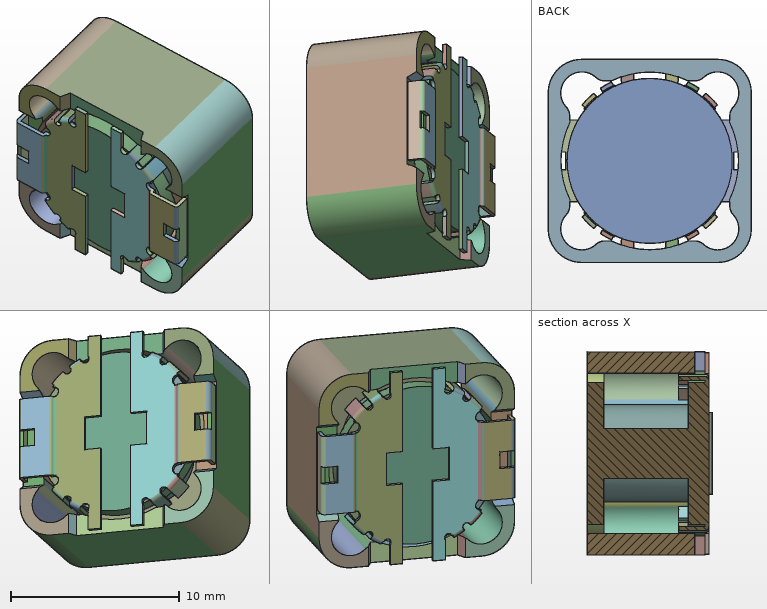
import cadquery as cq
import math


SIDE = 12.1
TOTAL_DEPTH = 7.47
TERMINAL_STANDOFF = 0.45
SLEEVE_DEPTH = TOTAL_DEPTH - TERMINAL_STANDOFF
CORNER_RADIUS = 2.01
CORNER_CENTRE = SIDE / 2 - CORNER_RADIUS
CORNER_HOLE_RADIUS = 1.25
BORE_RADIUS = 5.28
BORE_FLAT = 4.75
BORE_FILLET = 0.75
NOTCH_DEPTH = 0.6
NOTCH_MOUTH_HALF_WIDTH = 3.0
NOTCH_FLOOR_HALF_WIDTH = 2.7

CORE_RADIUS = 4.91
FLANGE_THICKNESS = 1.0
POST_RADIUS = 2.9

SHEET = 0.24
STRIP_INNER_X = 0.94
STRIP_OUTER_X = 1.71
STRIP_HALF_LENGTH = 6.0
WINDOW_HALF_WIDTH = 1.95
WINDOW_HALF_HEIGHT = 1.02

PLATE_RADIUS = 4.99
TAB_DEPTH = 1.57
TAB_BEND_RADIUS = 0.23
DIAGONAL_TAB = (45.0, 0.97)
STEEP_TAB = (60.0, 0.76)

RELIEF_RADIUS = 0.23
STRIP_RELIEF = (1.89, 4.6)
STRIP_RELIEF_ANGLE = 67.5
TAB_RELIEF = (3.01, 4.03)
TAB_RELIEF_ANGLE = 52.5
TERMINAL_RELIEF_RADIUS = 0.31
TERMINAL_RELIEF = (3.88, 2.76)
TERMINAL_RELIEF_ANGLE = 0.0

TERMINAL_HALF_WIDTH = 2.45
TERMINAL_OUTER_X = 6.0
TERMINAL_BEND_RADIUS = 0.25
LEG_REACH = 0.56
JOGGLE_OUTER_X = 4.07
JOGGLE_MIDDLE_X = 3.91
JOGGLE_INNER_X = 3.71
SLOT_INNER_X = 5.01
SLOT_HALF_WIDTH = 0.52

QUADRANTS = [(1, 1), (-1, 1), (-1, -1), (1, -1)]


def front_plane(y):
    """Sketch plane at depth y, with local axes X and Z; extruding by +d goes toward -Y."""
    return cq.Workplane("XZ", origin=(0, y, 0))


def place_in_quadrant(body, sign_x, sign_z):
    """Mirror a first-quadrant body into the quadrant with the given signs."""
    if sign_x < 0:
        body = body.mirror("YZ")
    if sign_z < 0:
        body = body.mirror("XY")
    return body


def make_bore():
    """Round bore joined with a square one and four corner holes."""
    depth = -SLEEVE_DEPTH
    corner_holes = front_plane(0).rect(2 * CORNER_CENTRE, 2 * CORNER_CENTRE, forConstruction=True)
    corner_holes = corner_holes.vertices().circle(CORNER_HOLE_RADIUS).extrude(depth)
    bore = front_plane(0).rect(2 * BORE_FLAT, 2 * BORE_FLAT).extrude(depth).union(corner_holes)

    flat_end = CORNER_CENTRE - math.sqrt(CORNER_HOLE_RADIUS**2 - (BORE_FLAT - CORNER_CENTRE) ** 2)
    meeting_points = [(flat_end, BORE_FLAT), (BORE_FLAT, flat_end)]
    fillet_edges = []
    for edge in bore.edges("|Y").vals():
        middle = edge.Center()
        for x, z in meeting_points:
            if math.hypot(abs(middle.x) - x, abs(middle.z) - z) < 0.01:
                fillet_edges.append(edge)
    bore = bore.newObject(fillet_edges).fillet(BORE_FILLET)
    return bore.union(front_plane(0).circle(BORE_RADIUS).extrude(depth))


def make_notch():
    """Tapered notch across the whole sleeve along X, opening at the mounting face."""
    outline = [
        (0, -NOTCH_MOUTH_HALF_WIDTH),
        (NOTCH_DEPTH, -NOTCH_FLOOR_HALF_WIDTH),
        (NOTCH_DEPTH, NOTCH_FLOOR_HALF_WIDTH),
        (0, NOTCH_MOUTH_HALF_WIDTH),
    ]
    return cq.Workplane("YZ").polyline(outline).close().extrude(SIDE / 2, both=True)


def make_sleeve():
    sleeve = front_plane(0).rect(SIDE, SIDE).extrude(-SLEEVE_DEPTH)
    sleeve = sleeve.edges("|Y").fillet(CORNER_RADIUS).cut(make_bore())
    notch = make_notch()
    return sleeve.cut(notch).cut(notch.rotate((0, 0, 0), (0, 1, 0), 90))


def make_drum_core():
    """Post with a flange at each end."""
    front_flange = front_plane(0).circle(CORE_RADIUS).extrude(-FLANGE_THICKNESS)
    back_flange = front_plane(SLEEVE_DEPTH).circle(CORE_RADIUS).extrude(FLANGE_THICKNESS)
    post = front_plane(0).circle(POST_RADIUS).extrude(-SLEEVE_DEPTH)
    return post.union(front_flange).union(back_flange)


def make_relief(centre, radius, direction):
    """First-quadrant cutter for a round-ended notch that runs outward at an angle from the X axis."""
    x, z = centre
    length = SIDE / 2 - math.hypot(x, z)
    cutter = front_plane(0).circle(radius).extrude(SHEET)
    channel = front_plane(0).center(length / 2, 0).rect(length, 2 * radius).extrude(SHEET)
    return cutter.union(channel).rotate((0, 0, 0), (0, 1, 0), -direction).translate((x, 0, z))


def make_tab(angle, width):
    """Tab at the plate's rim: a strip of a ring around the core with a rounded bend at the front."""
    ring = front_plane(-SHEET).circle(PLATE_RADIUS + SHEET).extrude(-SHEET - TAB_DEPTH)
    ring = ring.faces("<Y").edges().fillet(TAB_BEND_RADIUS)
    ring = ring.cut(front_plane(-SHEET).circle(PLATE_RADIUS).extrude(-SHEET - TAB_DEPTH))
    strip = front_plane(-SHEET).center(SIDE / 4, 0).rect(SIDE / 2, width).extrude(-SHEET - TAB_DEPTH)
    return ring.intersect(strip).rotate((0, 0, 0), (0, 1, 0), -angle)


def make_plate():
    """Flat part of the lead frame: two halves, each with a long strip and four tabs."""
    plate = front_plane(0).circle(PLATE_RADIUS).extrude(SHEET)
    strip_centre = (STRIP_INNER_X + STRIP_OUTER_X) / 2
    strip_width = STRIP_OUTER_X - STRIP_INNER_X
    strips = front_plane(0).pushPoints([(-strip_centre, 0), (strip_centre, 0)])
    strips = strips.rect(strip_width, 2 * STRIP_HALF_LENGTH).extrude(SHEET)
    plate = plate.union(strips)

    reliefs = [
        make_relief(STRIP_RELIEF, RELIEF_RADIUS, STRIP_RELIEF_ANGLE),
        make_relief(TAB_RELIEF, RELIEF_RADIUS, TAB_RELIEF_ANGLE),
        make_relief(TERMINAL_RELIEF, TERMINAL_RELIEF_RADIUS, TERMINAL_RELIEF_ANGLE),
    ]
    tabs = [make_tab(*DIAGONAL_TAB), make_tab(*STEEP_TAB)]
    for sign_x, sign_z in QUADRANTS:
        for relief in reliefs:
            plate = plate.cut(place_in_quadrant(relief, sign_x, sign_z))
        for tab in tabs:
            plate = plate.union(place_in_quadrant(tab, sign_x, sign_z))

    gap = front_plane(0).rect(2 * STRIP_INNER_X, 2 * STRIP_HALF_LENGTH).extrude(SHEET)
    window = front_plane(0).rect(2 * WINDOW_HALF_WIDTH, 2 * WINDOW_HALF_HEIGHT).extrude(SHEET)
    plate = plate.cut(gap).cut(window)

    edge_centre = (JOGGLE_INNER_X + TERMINAL_OUTER_X) / 2
    edge_width = TERMINAL_OUTER_X - JOGGLE_INNER_X
    terminal_room = front_plane(0).pushPoints([(-edge_centre, 0), (edge_centre, 0)])
    terminal_room = terminal_room.rect(edge_width, 2 * TERMINAL_HALF_WIDTH).extrude(SHEET)
    return plate.cut(terminal_room)


def make_terminal():
    """Solder terminal on the +X side: joggle, pad and a leg bent into the sleeve notch."""
    pad_back = SHEET - TERMINAL_STANDOFF
    profile = (
        cq.Workplane("XY")
        .moveTo(JOGGLE_INNER_X, 0)
        .lineTo(JOGGLE_OUTER_X, 0)
        .lineTo(JOGGLE_OUTER_X, pad_back)
        .lineTo(TERMINAL_OUTER_X - SHEET, pad_back)
        .lineTo(TERMINAL_OUTER_X - SHEET, LEG_REACH)
        .lineTo(TERMINAL_OUTER_X, LEG_REACH)
        .lineTo(TERMINAL_OUTER_X, TERMINAL_BEND_RADIUS - TERMINAL_STANDOFF)
        .radiusArc((TERMINAL_OUTER_X - TERMINAL_BEND_RADIUS, -TERMINAL_STANDOFF), TERMINAL_BEND_RADIUS)
        .lineTo(JOGGLE_OUTER_X, -TERMINAL_STANDOFF)
    )
    run = JOGGLE_OUTER_X - JOGGLE_INNER_X
    drop = TERMINAL_STANDOFF - SHEET
    middle_y = -TERMINAL_STANDOFF + drop * (JOGGLE_OUTER_X - JOGGLE_MIDDLE_X) / run
    profile = (
        profile.tangentArcPoint((JOGGLE_MIDDLE_X, middle_y), relative=False)
        .tangentArcPoint((JOGGLE_INNER_X, -SHEET), relative=False)
        .close()
    )
    terminal = profile.extrude(TERMINAL_HALF_WIDTH, both=True)
    slot_length = TERMINAL_OUTER_X - SLOT_INNER_X
    slot = cq.Workplane("XY").box(slot_length, SHEET, 2 * SLOT_HALF_WIDTH, centered=(False, False, True))
    return terminal.cut(slot.translate((SLOT_INNER_X, -TERMINAL_STANDOFF, 0)))


def make_wound_core():
    """Drum core together with its lead frame."""
    terminal = make_terminal()
    core = make_drum_core().union(make_plate())
    return core.union(terminal).union(terminal.mirror("YZ"))


sleeve = make_sleeve()
wound_core = make_wound_core()
result = cq.Compound.makeCompound([sleeve.val(), wound_core.val()])